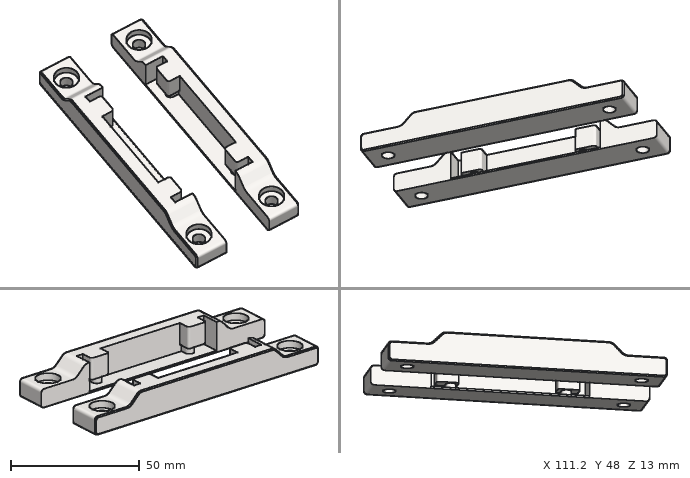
import cadquery as cq

LENGTH = 111.2
TOTAL_WIDTH = 48.0
GAP = 20.0
HEIGHT = 13.0
EAR_HEIGHT = 8.0

SHOULDER_X = 33.6
SHOULDER_RADIUS = 3.3
END_RADIUS = 1.5
OUTER_CHAMFER = 0.5

POCKET_LENGTH = 63.2
POCKET_DEPTH = 8.1
FLOOR_THICKNESS = 0.8

TAB_X = 24.1
TAB_LENGTH = 8.8
TAB_REACH = 5.5
TAB_RADIUS = 1.0
TAB_CLEARANCE = 3.0

RIB_X = 23.0
RIB_SHIFT = 0.5
RIB_WIDTH = 4.0
RIB_SETBACK = 1.0

HOLE_X = 46.7
HOLE_DIAMETER = 5.0
HEAD_DIAMETER = 10.0
HEAD_DEPTH = 3.0

END_X = LENGTH / 2
INNER_Y = GAP / 2
OUTER_Y = TOTAL_WIDTH / 2
BAR_WIDTH = OUTER_Y - INNER_Y
HOLE_Y = (INNER_Y + OUTER_Y) / 2
POCKET_BACK_Y = INNER_Y + POCKET_DEPTH
TAB_BOTTOM_Z = FLOOR_THICKNESS + TAB_CLEARANCE
SLOPE_FOOT_X = SHOULDER_X + (HEIGHT - EAR_HEIGHT)

SIDES = (-1, 1)


def cross_edges(solid, x_min, x_max):
    """Edges running along Y whose distance from the YZ plane lies in a range."""
    return solid.edges("|Y").filter(lambda edge: x_min < abs(edge.Center().x) < x_max)


def bar_blank():
    """Raised bar with a low ear at each end, rounded across its width."""
    outline = [
        (-END_X, 0),
        (END_X, 0),
        (END_X, EAR_HEIGHT),
        (SLOPE_FOOT_X, EAR_HEIGHT),
        (SHOULDER_X, HEIGHT),
        (-SHOULDER_X, HEIGHT),
        (-SLOPE_FOOT_X, EAR_HEIGHT),
        (-END_X, EAR_HEIGHT),
    ]
    blank = cq.Workplane("XZ", origin=(0, OUTER_Y, 0)).polyline(outline).close().extrude(BAR_WIDTH)
    blank = cross_edges(blank, 0, HOLE_X).fillet(SHOULDER_RADIUS)
    blank = cross_edges(blank, HOLE_X, LENGTH).fillet(END_RADIUS)
    return blank.faces(">Y").chamfer(OUTER_CHAMFER)


def pocket():
    """Cutter that leaves a thin floor under the raised part of the bar."""
    return (
        cq.Workplane("XY", origin=(0, INNER_Y, FLOOR_THICKNESS))
        .box(POCKET_LENGTH, POCKET_DEPTH, HEIGHT, centered=(True, False, False))
    )


def tab(x):
    """Tab level with the top of the bar, rounded at its two free corners."""
    return (
        cq.Workplane("XY", origin=(x, POCKET_BACK_Y - TAB_REACH, TAB_BOTTOM_Z))
        .box(TAB_LENGTH, TAB_REACH, HEIGHT - TAB_BOTTOM_Z, centered=(True, False, False))
        .edges("|Z and <Y")
        .fillet(TAB_RADIUS)
    )


def rib(x):
    """Rib from the back wall of the pocket, ending in a half-round nose."""
    half_width = RIB_WIDTH / 2
    nose_y = RIB_SETBACK - TAB_REACH
    nose_start_y = nose_y + half_width
    return (
        cq.Workplane("XY", origin=(x, POCKET_BACK_Y, FLOOR_THICKNESS))
        .moveTo(-half_width, 0)
        .lineTo(-half_width, nose_start_y)
        .threePointArc((0, nose_y), (half_width, nose_start_y))
        .lineTo(half_width, 0)
        .close()
        .extrude(TAB_CLEARANCE)
    )


def screw_hole(x):
    """Cutter for a through hole with a counterbore sunk from the ear's top."""
    shank = cq.Workplane("XY", origin=(x, HOLE_Y, 0)).circle(HOLE_DIAMETER / 2).extrude(EAR_HEIGHT)
    head = (
        cq.Workplane("XY", origin=(x, HOLE_Y, EAR_HEIGHT))
        .circle(HEAD_DIAMETER / 2)
        .extrude(-HEAD_DEPTH)
    )
    return shank.union(head)


def holder():
    """Holder on the +Y side, its pocket facing -Y."""
    body = bar_blank().cut(pocket())
    for side in SIDES:
        body = body.union(tab(side * TAB_X))
        body = body.union(rib(side * RIB_X + RIB_SHIFT))
        body = body.cut(screw_hole(side * HOLE_X))
    return body


rear_holder = holder()
front_holder = rear_holder.mirror("XZ")

result = cq.Compound.makeCompound([rear_holder.val(), front_holder.val()])